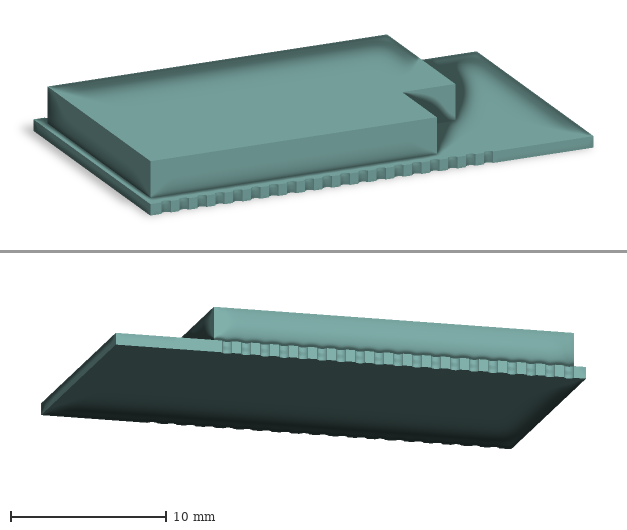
import cadquery as cq

board_width = 18.0
board_length = 31.4
board_thickness = 0.8

total_height = 3.3
can_width = 15.85
can_length = 24.05
can_front_margin = 0.5
can_step_width = 5.35
can_step_length = 3.77

castellation_count = 19
castellation_radius = 0.35
castellation_depth = 0.25
castellation_row_length = 22.83
castellation_front_margin = 1.13
castellation_pitch = castellation_row_length / (castellation_count - 1)

board_front = -board_length / 2


def make_board():
    """Flat board with a row of shallow round notches in each long edge."""
    board = cq.Workplane("XY").box(
        board_width, board_length, board_thickness, centered=(True, True, False)
    )
    first_y = board_front + castellation_front_margin
    center_x = board_width / 2 + castellation_radius - castellation_depth
    centers = [
        (side * center_x, first_y + i * castellation_pitch)
        for side in (-1, 1)
        for i in range(castellation_count)
    ]
    notches = (
        cq.Workplane("XY")
        .pushPoints(centers)
        .circle(castellation_radius)
        .extrude(board_thickness)
    )
    return board.cut(notches)


def make_can():
    """Solid shield can with a rectangular step in its rear right corner."""
    left = -can_width / 2
    right = can_width / 2
    front = board_front + can_front_margin
    rear = front + can_length
    outline = [
        (left, front),
        (right, front),
        (right, rear - can_step_length),
        (right - can_step_width, rear - can_step_length),
        (right - can_step_width, rear),
        (left, rear),
    ]
    return (
        cq.Workplane("XY")
        .workplane(offset=board_thickness)
        .polyline(outline)
        .close()
        .extrude(total_height - board_thickness)
    )


result = make_board().union(make_can())